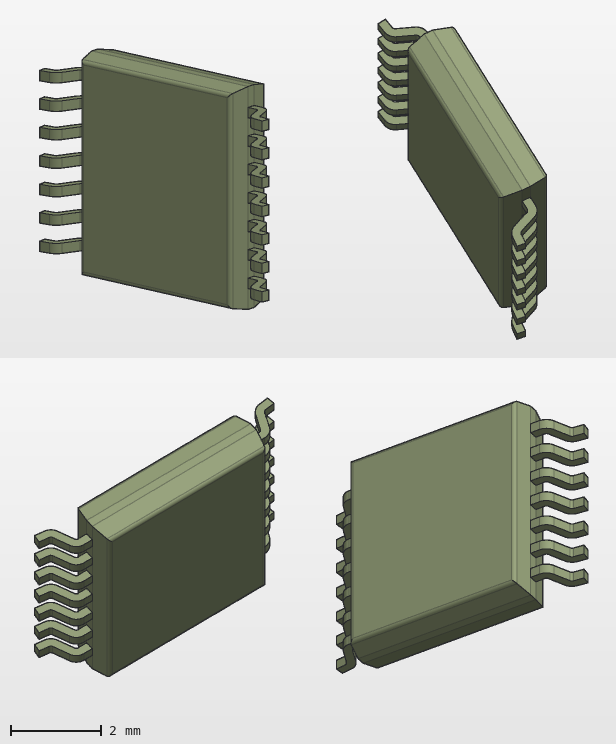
import cadquery as cq
import math

overall_span = 6.46
overall_depth = 1.35

body_width = 4.51
body_height = 5.1
body_depth = 1.195
taper_angle = 12.0
face_edge_radius = 0.1

leads_per_side = 7
lead_row_length = 3.9
lead_pitch = lead_row_length / (leads_per_side - 1)
lead_width = 0.24
lead_thickness = 0.205
band_depth = lead_thickness
inner_bend_radius = 0.08
bend_radius = inner_bend_radius + lead_thickness / 2
knee_x = 2.605
leg_angle = math.radians(67.0)
foot_angle = math.radians(7.0)
lead_embedment = 0.13


def make_body():
    """Middle band with one tapered half on each side, rounded around both large faces."""
    band = (
        cq.Workplane("XZ")
        .rect(body_width, body_height)
        .extrude(band_depth / 2, both=True)
    )
    taper_depth = (body_depth - band_depth) / 2
    front_half = (
        cq.Workplane("XZ", origin=(0, -band_depth / 2, 0))
        .rect(body_width, body_height)
        .extrude(taper_depth, taper=taper_angle)
    )
    back_half = front_half.mirror("XZ")
    body = band.union(front_half).union(back_half)
    return body.faces("<Y or >Y").edges().fillet(face_edge_radius)


def step(point, angle, distance):
    """Move outward from a point along a direction sloping down toward -Y by the angle."""
    x, y = point
    return (x + distance * math.cos(angle), y - distance * math.sin(angle))


def make_lead():
    """Right-hand lead at Z = 0: flat shoulder, steep leg and a slightly sloping foot."""
    half_thickness = lead_thickness / 2
    lowest_y = body_depth / 2 - overall_depth
    tip = (
        overall_span / 2 - half_thickness * math.sin(foot_angle),
        lowest_y + half_thickness * math.cos(foot_angle),
    )
    knee = (knee_x, 0)

    run = tip[0] - knee[0]
    drop = knee[1] - tip[1]
    turn = leg_angle - foot_angle
    leg_length = (drop * math.cos(foot_angle) - run * math.sin(foot_angle)) / math.sin(turn)
    ankle = step(knee, leg_angle, leg_length)

    knee_trim = bend_radius * math.tan(leg_angle / 2)
    ankle_trim = bend_radius * math.tan(turn / 2)

    start_x = body_width / 2 - lead_embedment
    centreline = (
        cq.Workplane("XY")
        .moveTo(start_x, 0)
        .lineTo(knee[0] - knee_trim, 0)
        .tangentArcPoint(step(knee, leg_angle, knee_trim), relative=False)
        .lineTo(*step(ankle, leg_angle, -ankle_trim))
        .tangentArcPoint(step(ankle, foot_angle, ankle_trim), relative=False)
        .lineTo(*tip)
    )
    section = cq.Workplane("YZ", origin=(start_x, 0, 0)).rect(lead_thickness, lead_width)
    return section.sweep(centreline)


result = make_body()
right_lead = make_lead()
left_lead = right_lead.mirror("YZ")
for index in range(leads_per_side):
    lead_z = index * lead_pitch - lead_row_length / 2
    for lead in (left_lead, right_lead):
        result = result.union(lead.translate((0, 0, lead_z)))